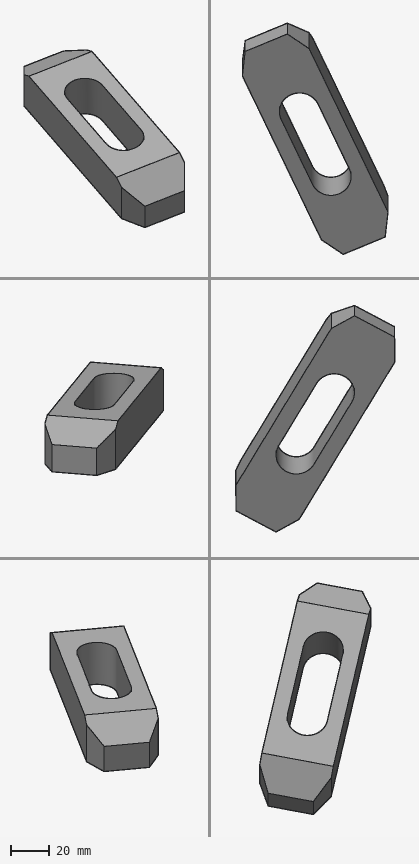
import cadquery as cq
import math

length = 125.0
width = 38.0
height = 25.0

bevel_angle = math.radians(30)
end_width = 24.0
end_height = 15.0
side_bevel_length = (width - end_width) / 2 / math.tan(bevel_angle)
top_bevel_length = (height - end_height) / math.tan(bevel_angle)

slot_length = 61.0
slot_width = 21.0


def plan_body():
    """Block with its four vertical corners bevelled, standing on Z = 0."""
    shoulder_x = length / 2 - side_bevel_length
    outline = [
        (-length / 2, -end_width / 2),
        (-shoulder_x, -width / 2),
        (shoulder_x, -width / 2),
        (length / 2, -end_width / 2),
        (length / 2, end_width / 2),
        (shoulder_x, width / 2),
        (-shoulder_x, width / 2),
        (-length / 2, end_width / 2),
    ]
    return cq.Workplane("XY").polyline(outline).close().extrude(height)


def side_profile():
    """Full-width prism whose top slopes down toward both ends."""
    shoulder_x = length / 2 - top_bevel_length
    outline = [
        (-length / 2, 0),
        (length / 2, 0),
        (length / 2, end_height),
        (shoulder_x, height),
        (-shoulder_x, height),
        (-length / 2, end_height),
    ]
    return cq.Workplane("XZ").polyline(outline).close().extrude(width / 2, both=True)


def slot():
    """Round-ended slot through the full height."""
    return cq.Workplane("XY").slot2D(slot_length, slot_width).extrude(height)


result = plan_body().intersect(side_profile()).cut(slot())